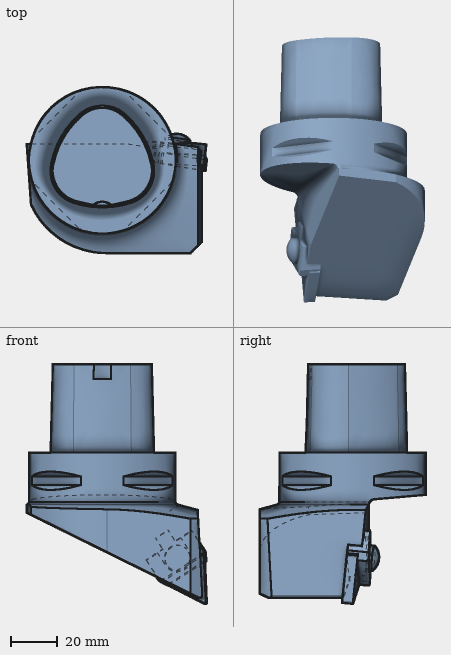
import cadquery as cq
import math


SHANK_HEIGHT = 38.0
SHANK_TAPER = math.degrees(math.atan(1 / 40))
LOBE_RADIUS = 14.5
LOBE_OFFSET = 9.0
SIDE_DISTANCE = 20.3
NOTCH_DIAMETER = 10.9
NOTCH_DEPTH = 1.5
NOTCH_HEIGHT = 6.3

FLANGE_DIAMETER = 63.0
FLANGE_RADIUS = FLANGE_DIAMETER / 2
FLANGE_HEIGHT = 22.0
NECK_FILLET = 1.0
SLOT_COUNT = 4
SLOT_LEVEL = -12.0
SLOT_FLOOR_DISTANCE = 27.8
SLOT_FLOOR_WIDTH = 3.6
SLOT_WALL_ANGLE = 30.0

CONE_ANGLE = 15.0
CONE_RADIUS = 77.2
HEAD_BACK = 7.0
HEAD_FRONT = -40.0
HEAD_RIGHT = 41.2
RIGHT_LEVEL = -28.3
RIGHT_ANGLE = 3.0
HEAD_LEFT = -32.5
UNDERSIDE_LEFT = -25.8
UNDERSIDE_ANGLE = 26.3
ARC_START_X = -30.7
ARC_START_Y = -19.0
ARC_END_X = 2.0
CORNER_START_X = 37.8
TIP_FILLET = 1.0
ROOF_EDGE = -18.1
ROOF_ANGLE = 5.0
ROOF_FILLET = 2.5
CLEARANCE = 103.0

TIP = (45.0, 0.0, -65.5)
INSERT_NORMAL = (0.117, 1.0, -0.096)
INSERT_BISECTOR = 123.0
INSERT_EDGE = 22.0
INSERT_DEPTH = INSERT_EDGE * math.sqrt(3) / 2
INSERT_THICKNESS = 4.7
INSERT_CORNER = 0.76

WEDGE_LENGTH = 23.3
LIP_OVERHANG = 2.3
LIP_FILLET = 0.9
FOOT_BACK = 23.1
WEDGE_BACK = 31.1
TAIL_BACK = 36.8
TAIL_WIDTH = 6.4
SHELF_HEIGHT = 1.2
SHELF_BACK = 43.3
WEDGE_TOP_POINT = (20.6, 7.9, -49.4)
WEDGE_TOP_NORMAL = (0.055, 1.0, -0.035)
SEAT_DIAMETER = 11.9
SEAT_DEPTH = 0.5
SCREW_DISTANCE = 24.8
SCREW_DIAMETER = 10.9
SCREW_RIM = 5.5
SCREW_CROWN = 7.9

insert_up = cq.Vector(*INSERT_NORMAL).normalized()
bisector_angle = math.radians(INSERT_BISECTOR)
bisector = cq.Vector(math.cos(bisector_angle), 0, math.sin(bisector_angle))
INSERT_PLANE = cq.Plane(
    origin=TIP,
    xDir=bisector - insert_up * bisector.dot(insert_up),
    normal=insert_up,
)


def polar(radius, degrees):
    angle = math.radians(degrees)
    return cq.Vector(radius * math.cos(angle), radius * math.sin(angle))


def make_shank():
    half_offset = LOBE_OFFSET / 2
    gap = SIDE_DISTANCE - half_offset
    lobe_x = LOBE_OFFSET * math.cos(math.radians(30))
    side_radius = (lobe_x**2 + gap**2 - LOBE_RADIUS**2) / (2 * (gap - LOBE_RADIUS))
    side_offset = side_radius - SIDE_DISTANCE
    side_half_angle = math.degrees(math.atan2(lobe_x, side_offset + half_offset))

    def side_point(side, turn):
        return polar(side_offset, side + 180) + polar(side_radius, side + turn)

    sides = (30, 150, 270)
    start = side_point(sides[0], -side_half_angle)
    outline = cq.Workplane("XY").moveTo(start.x, start.y)
    for side in sides:
        lobe_top = polar(LOBE_OFFSET + LOBE_RADIUS, side + 60)
        next_start = side_point(side + 120, -side_half_angle)
        outline = outline.threePointArc(
            side_point(side, 0).toTuple()[:2], side_point(side, side_half_angle).toTuple()[:2]
        ).threePointArc(lobe_top.toTuple()[:2], next_start.toTuple()[:2])
    shank = outline.close().extrude(SHANK_HEIGHT, taper=SHANK_TAPER)

    top_side = SIDE_DISTANCE - SHANK_HEIGHT * math.tan(math.radians(SHANK_TAPER))
    notch_y = NOTCH_DEPTH - top_side - NOTCH_DIAMETER / 2
    notch = (
        cq.Workplane("XY", origin=(0, notch_y, SHANK_HEIGHT - NOTCH_HEIGHT))
        .circle(NOTCH_DIAMETER / 2)
        .extrude(NOTCH_HEIGHT)
    )
    return shank.cut(notch)


def make_turned_blank():
    slope = math.radians(CONE_ANGLE)
    tangent = NECK_FILLET * math.tan(math.radians(90 - CONE_ANGLE) / 2)
    centre_r = FLANGE_RADIUS + NECK_FILLET
    centre_z = tangent - FLANGE_HEIGHT
    middle = math.radians(180 + (90 - CONE_ANGLE) / 2)
    cone_drop = (CONE_RADIUS - FLANGE_RADIUS) * math.tan(slope)
    return (
        cq.Workplane("XZ")
        .lineTo(FLANGE_RADIUS, 0)
        .lineTo(FLANGE_RADIUS, centre_z)
        .threePointArc(
            (centre_r + NECK_FILLET * math.cos(middle), centre_z + NECK_FILLET * math.sin(middle)),
            (FLANGE_RADIUS + tangent * math.cos(slope), -FLANGE_HEIGHT - tangent * math.sin(slope)),
        )
        .lineTo(CONE_RADIUS, -FLANGE_HEIGHT - cone_drop)
        .lineTo(CONE_RADIUS, -CLEARANCE)
        .lineTo(0, -CLEARANCE)
        .close()
        .revolve(360, (0, 0, 0), (0, 1, 0))
    )


def head_outline():
    rise = ARC_START_Y - HEAD_FRONT
    run = ARC_END_X - ARC_START_X
    arc_radius = (run**2 + rise**2) / (2 * rise)
    arc_angle = math.atan2(run, arc_radius - rise) / 2
    arc_middle = (
        ARC_END_X - arc_radius * math.sin(arc_angle),
        HEAD_FRONT + arc_radius * (1 - math.cos(arc_angle)),
    )
    left_lean = (HEAD_LEFT - ARC_START_X) / (HEAD_BACK - ARC_START_Y)
    left_top = ARC_START_X + left_lean * (FLANGE_RADIUS - ARC_START_Y)
    right = CORNER_START_X + FLANGE_RADIUS
    return (
        cq.Workplane("XY", origin=(0, 0, -CLEARANCE))
        .moveTo(left_top, FLANGE_RADIUS)
        .lineTo(ARC_START_X, ARC_START_Y)
        .threePointArc(arc_middle, (ARC_END_X, HEAD_FRONT))
        .lineTo(CORNER_START_X, HEAD_FRONT)
        .lineTo(right, HEAD_FRONT + FLANGE_RADIUS)
        .lineTo(right, FLANGE_RADIUS)
        .close()
        .extrude(CLEARANCE)
    )


def head_profile():
    under_slope = math.tan(math.radians(UNDERSIDE_ANGLE))
    lean = math.tan(math.radians(RIGHT_ANGLE))
    right_top = HEAD_RIGHT + lean * RIGHT_LEVEL
    tip_x = (right_top - lean * (UNDERSIDE_LEFT + under_slope * HEAD_LEFT)) / (1 - lean * under_slope)
    tip_z = UNDERSIDE_LEFT - under_slope * (tip_x - HEAD_LEFT)
    left = HEAD_LEFT - FLANGE_RADIUS
    return (
        cq.Workplane("XZ", origin=(0, CLEARANCE / 2, 0))
        .moveTo(left, 0)
        .lineTo(left, UNDERSIDE_LEFT + under_slope * FLANGE_RADIUS)
        .lineTo(tip_x, tip_z)
        .lineTo(right_top, 0)
        .close()
        .extrude(CLEARANCE)
        .edges("|Y and <Z")
        .fillet(TIP_FILLET)
    )


def back_relief():
    slope = math.tan(math.radians(ROOF_ANGLE))
    outer = CLEARANCE / 2
    roof_outer = ROOF_EDGE + slope * (outer - FLANGE_RADIUS)
    roof_inner = ROOF_EDGE - slope * (FLANGE_RADIUS - HEAD_BACK)
    return (
        cq.Workplane("YZ", origin=(-CLEARANCE / 2, 0, 0))
        .moveTo(HEAD_BACK, roof_inner)
        .lineTo(outer, roof_outer)
        .lineTo(outer, -CLEARANCE)
        .lineTo(HEAD_BACK, -CLEARANCE)
        .close()
        .extrude(CLEARANCE)
        .edges("|X and <Y")
        .edges(">Z")
        .fillet(ROOF_FILLET)
    )


def make_gripper_slot():
    depth = FLANGE_RADIUS - SLOT_FLOOR_DISTANCE
    floor_half = SLOT_FLOOR_WIDTH / 2
    mouth_half = floor_half + depth * math.tan(math.radians(SLOT_WALL_ANGLE))
    return (
        cq.Workplane("XZ", origin=(0, FLANGE_RADIUS, SLOT_LEVEL))
        .moveTo(SLOT_FLOOR_DISTANCE, -floor_half)
        .lineTo(FLANGE_RADIUS, -mouth_half)
        .lineTo(FLANGE_RADIUS, mouth_half)
        .lineTo(SLOT_FLOOR_DISTANCE, floor_half)
        .close()
        .extrude(FLANGE_DIAMETER)
    )


def insert_block(back, bottom):
    front = INSERT_DEPTH - CLEARANCE / 2
    return (
        cq.Workplane(INSERT_PLANE)
        .workplane(offset=bottom)
        .center((front + back) / 2, 0)
        .rect(back - front, CLEARANCE)
        .extrude(CLEARANCE / 2)
    )


def above_wedge_top(depth=0.0):
    top_plane = cq.Plane(origin=WEDGE_TOP_POINT, xDir=(1, 0, 0), normal=WEDGE_TOP_NORMAL)
    return cq.Workplane(top_plane).workplane(offset=-depth).rect(CLEARANCE, CLEARANCE).extrude(CLEARANCE)


def seat_outline():
    seat = cq.Workplane(INSERT_PLANE).center(SCREW_DISTANCE, 0).circle(SEAT_DIAMETER / 2).extrude(CLEARANCE)
    run_out = (
        cq.Workplane(INSERT_PLANE)
        .center(SCREW_DISTANCE + SEAT_DIAMETER, 0)
        .rect(2 * SEAT_DIAMETER, SEAT_DIAMETER)
        .extrude(CLEARANCE)
    )
    return seat.union(run_out)


def make_wedge():
    lip_front = INSERT_DEPTH - LIP_OVERHANG
    section_plane = cq.Plane(
        origin=INSERT_PLANE.toWorldCoords((0, WEDGE_LENGTH / 2, 0)).toTuple(),
        xDir=INSERT_PLANE.xDir,
        normal=-INSERT_PLANE.yDir,
    )
    stock_top = INSERT_DEPTH
    wedge = (
        cq.Workplane(section_plane)
        .moveTo(INSERT_DEPTH, -INSERT_THICKNESS)
        .lineTo(FOOT_BACK, -INSERT_THICKNESS)
        .lineTo(FOOT_BACK, SHELF_HEIGHT)
        .lineTo(WEDGE_BACK, SHELF_HEIGHT)
        .lineTo(WEDGE_BACK, stock_top)
        .lineTo(lip_front, stock_top)
        .lineTo(lip_front, 0)
        .lineTo(INSERT_DEPTH, 0)
        .close()
        .extrude(WEDGE_LENGTH)
    )
    tail = (
        cq.Workplane(INSERT_PLANE)
        .workplane(offset=SHELF_HEIGHT)
        .center((SCREW_DISTANCE + TAIL_BACK) / 2, 0)
        .rect(TAIL_BACK - SCREW_DISTANCE, TAIL_WIDTH)
        .extrude(stock_top)
    )
    lip_edge_point = INSERT_PLANE.toWorldCoords((lip_front, 0, INSERT_THICKNESS)).toTuple()
    wedge = (
        wedge.cut(above_wedge_top())
        .edges(cq.selectors.NearestToPointSelector(lip_edge_point))
        .fillet(LIP_FILLET)
        .union(tail)
    )
    end_half = SHELF_BACK * INSERT_EDGE / 2 / INSERT_DEPTH
    between_sides = (
        cq.Workplane(INSERT_PLANE)
        .polyline([(0, 0), (SHELF_BACK, -end_half), (SHELF_BACK, end_half)])
        .close()
        .extrude(CLEARANCE, both=True)
    )
    seat = above_wedge_top(SEAT_DEPTH).intersect(seat_outline())
    return wedge.cut(seat).intersect(between_sides)


def make_screw():
    radius = SCREW_DIAMETER / 2
    crown = SCREW_CROWN - SCREW_RIM
    dome_radius = (radius**2 + crown**2) / (2 * crown)
    screw_plane = cq.Plane(
        origin=INSERT_PLANE.toWorldCoords((SCREW_DISTANCE, 0, 0)).toTuple(),
        xDir=INSERT_PLANE.xDir,
        normal=-INSERT_PLANE.yDir,
    )
    half_angle = math.asin(radius / dome_radius) / 2
    dome_middle = (
        dome_radius * math.sin(half_angle),
        SCREW_CROWN - dome_radius * (1 - math.cos(half_angle)),
    )
    return (
        cq.Workplane(screw_plane)
        .moveTo(0, SHELF_HEIGHT)
        .lineTo(radius, SHELF_HEIGHT)
        .lineTo(radius, SCREW_RIM)
        .threePointArc(dome_middle, (0, SCREW_CROWN))
        .close()
        .revolve(360, (0, 0, 0), (0, 1, 0))
    )


def make_insert():
    half_edge = INSERT_EDGE / 2
    return (
        cq.Workplane(INSERT_PLANE)
        .polyline([(0, 0), (INSERT_DEPTH, -half_edge), (INSERT_DEPTH, half_edge)])
        .close()
        .extrude(-INSERT_THICKNESS)
        .edges(cq.selectors.ParallelDirSelector(INSERT_PLANE.zDir))
        .fillet(INSERT_CORNER)
    )


def make_holder(insert):
    flange_keep = cq.Workplane("XY").circle(FLANGE_RADIUS).extrude(-FLANGE_HEIGHT)
    head_keep = head_outline().intersect(head_profile()).union(flange_keep)
    body = make_turned_blank().intersect(head_keep).cut(back_relief())
    for index in range(SLOT_COUNT):
        turn = (index + 0.5) * 360 / SLOT_COUNT
        body = body.cut(make_gripper_slot().rotate((0, 0, 0), (0, 0, 1), turn))
    body = body.union(make_shank())

    body = body.cut(insert_block(FOOT_BACK, -INSERT_THICKNESS))
    body = body.cut(insert_block(SHELF_BACK, SHELF_HEIGHT))
    clamp = make_wedge().union(make_screw())
    return body.union(clamp).cut(insert)


insert = make_insert()
holder = make_holder(insert)
result = cq.Compound.makeCompound([holder.val(), insert.val()])